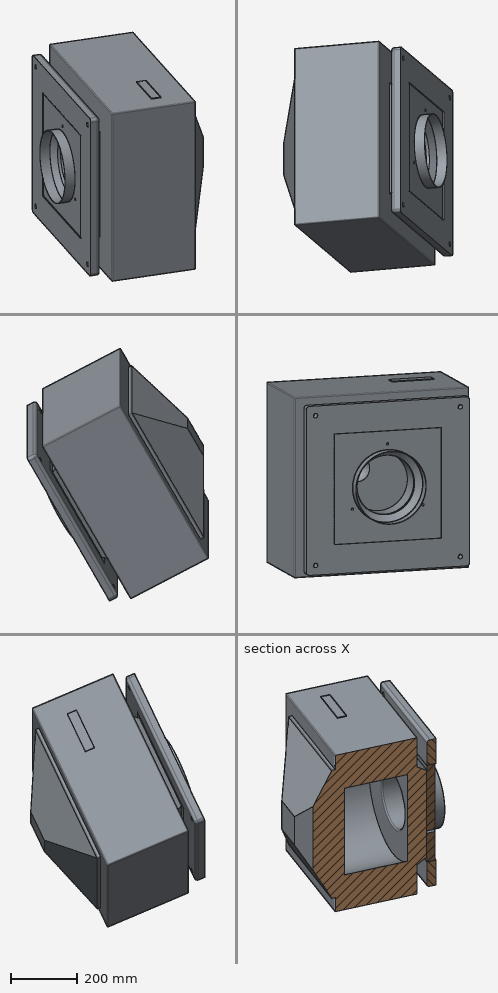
import cadquery as cq


HOUSING_WIDTH = 554.0
HOUSING_DEPTH = 268.5
HOUSING_ROUNDING = 3.0
HOUSING_WALL = 32.5
INLET_ROUNDING = 4.5
TOTAL_HEIGHT = 557.0
CAVITY_RADIUS = 189.5
BOWL_RADIUS = 40.0

CAP_WIDTH = 454.0
CAP_TIP_WIDTH = 100.0
CAP_RIM_DEPTH = 11.5
CAP_ROUNDING = 2.0
CAP_PYRAMID_DEPTH = 95.0

FUNNEL_DEPTH = 32.0
FUNNEL_FRONT_WIDTH = 308.5
FUNNEL_REAR_WIDTH = 346.5

PAD_LENGTH = 132.5
PAD_WIDTH = 30.0
PAD_X = 149.0
PAD_FROM_HOUSING_FRONT = 164.5

PLATE_WIDTH = 519.0
PLATE_THICKNESS = 30.0
PLATE_ROUNDING = 9.5
PLATE_HOLE_RADIUS = 6.5
PLATE_HOLE_OFFSET = 230.0

INSERT_WIDTH = 340.0
INSERT_RECESS = 3.5
PIPE_RADIUS = 112.0
PIPE_WALL = 1.0
PIPE_LENGTH = 29.0
CONE_DEPTH = 17.0
BORE_RADIUS = 91.5
SCREW_RADIUS = 3.5
SCREW_CIRCLE_RADIUS = 129.0
SCREW_COUNT = 3

FUNNEL_FRONT = PLATE_THICKNESS
HOUSING_FRONT = FUNNEL_FRONT + FUNNEL_DEPTH
HOUSING_REAR = HOUSING_FRONT + HOUSING_DEPTH
RIM_REAR = HOUSING_REAR + CAP_RIM_DEPTH
CAVITY_FRONT = HOUSING_FRONT + HOUSING_WALL
CAVITY_REAR = HOUSING_REAR - HOUSING_WALL
HOUSING_TOP = HOUSING_WIDTH / 2
PAD_HEIGHT = TOTAL_HEIGHT - HOUSING_WIDTH


def plane_at(y):
    """Sketch plane at depth y whose extrusions run towards +Y, with Z up."""
    return cq.Workplane(cq.Plane(origin=(0, y, 0), xDir=(-1, 0, 0), normal=(0, 1, 0)))


def square_block(width, y_start, y_end):
    return plane_at(y_start).rect(width, width).extrude(y_end - y_start)


def square_taper(width_start, width_end, y_start, y_end):
    return (
        plane_at(y_start)
        .rect(width_start, width_start)
        .workplane(offset=y_end - y_start)
        .rect(width_end, width_end)
        .loft(ruled=True)
    )


def cylinder(radius, y_start, y_end):
    return plane_at(y_start).circle(radius).extrude(y_end - y_start)


def make_housing():
    box = square_block(HOUSING_WIDTH, HOUSING_FRONT, HOUSING_REAR).edges().fillet(HOUSING_ROUNDING)
    rim = square_block(CAP_WIDTH, HOUSING_REAR, RIM_REAR).edges("|Y or >Y").fillet(CAP_ROUNDING)
    pyramid_base = CAP_WIDTH - 2 * CAP_ROUNDING
    pyramid = square_taper(pyramid_base, CAP_TIP_WIDTH, RIM_REAR, RIM_REAR + CAP_PYRAMID_DEPTH)
    funnel = square_taper(FUNNEL_FRONT_WIDTH, FUNNEL_REAR_WIDTH, FUNNEL_FRONT, HOUSING_FRONT)
    pad = (
        cq.Workplane("XY", origin=(PAD_X, HOUSING_FRONT + PAD_FROM_HOUSING_FRONT, HOUSING_TOP))
        .rect(PAD_LENGTH, PAD_WIDTH)
        .extrude(PAD_HEIGHT)
    )
    inlet = cylinder(BORE_RADIUS, FUNNEL_FRONT, CAVITY_FRONT)
    cavity = cylinder(CAVITY_RADIUS, CAVITY_FRONT, CAVITY_REAR)
    bowl = cq.Workplane("XY").sphere(BOWL_RADIUS).translate((0, CAVITY_REAR, 0))
    outside = box.union(rim).union(pyramid).union(funnel).union(pad)
    hollowed = outside.cut(cavity).cut(bowl).cut(inlet)
    reach = BORE_RADIUS + INLET_ROUNDING
    inlet_rim = cq.selectors.BoxSelector(
        (-reach, CAVITY_FRONT - INLET_ROUNDING, -reach),
        (reach, CAVITY_FRONT + INLET_ROUNDING, reach),
        boundingbox=True,
    )
    return hollowed.edges(inlet_rim).fillet(INLET_ROUNDING)


def make_cover_plate():
    plate = (
        square_block(PLATE_WIDTH, 0, PLATE_THICKNESS)
        .edges("|Y")
        .fillet(PLATE_ROUNDING)
        .faces(">Y")
        .edges()
        .fillet(PLATE_ROUNDING)
    )
    window = square_block(INSERT_WIDTH, 0, PLATE_THICKNESS)
    corner_holes = (
        plane_at(0)
        .rect(2 * PLATE_HOLE_OFFSET, 2 * PLATE_HOLE_OFFSET, forConstruction=True)
        .vertices()
        .circle(PLATE_HOLE_RADIUS)
        .extrude(PLATE_THICKNESS)
    )
    return plate.cut(window).cut(corner_holes)


def make_duct_insert():
    panel = square_block(INSERT_WIDTH, INSERT_RECESS, PLATE_THICKNESS)
    pipe = cylinder(PIPE_RADIUS, -PIPE_LENGTH, INSERT_RECESS)
    pipe_inner_radius = PIPE_RADIUS - PIPE_WALL
    cone_end = INSERT_RECESS + CONE_DEPTH
    passage = (
        cq.Workplane("XY")
        .polyline(
            [
                (0, -PIPE_LENGTH),
                (pipe_inner_radius, -PIPE_LENGTH),
                (pipe_inner_radius, INSERT_RECESS),
                (BORE_RADIUS, cone_end),
                (BORE_RADIUS, PLATE_THICKNESS),
                (0, PLATE_THICKNESS),
            ]
        )
        .close()
        .revolve(360, (0, 0, 0), (0, 1, 0))
    )
    screw_holes = (
        plane_at(INSERT_RECESS)
        .polarArray(SCREW_CIRCLE_RADIUS, 90, 360, SCREW_COUNT)
        .circle(SCREW_RADIUS)
        .extrude(PLATE_THICKNESS - INSERT_RECESS)
    )
    return panel.union(pipe).cut(passage).cut(screw_holes)


housing = make_housing()
cover_plate = make_cover_plate()
duct_insert = make_duct_insert()

result = cq.Compound.makeCompound([housing.val(), cover_plate.val(), duct_insert.val()])